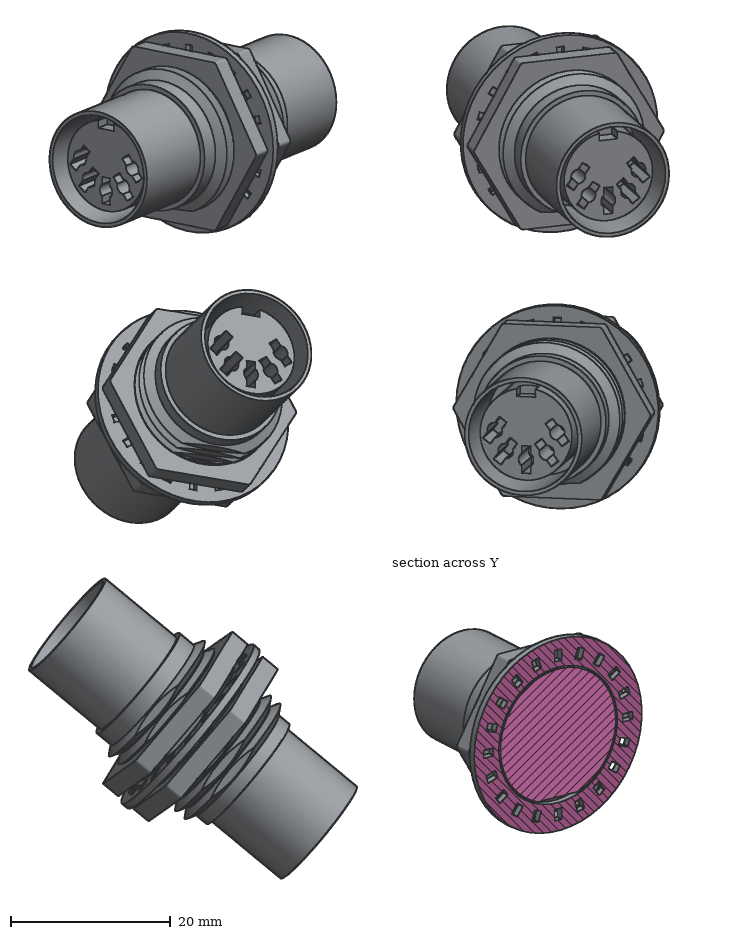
import cadquery as cq
import math

total_length = 41.15
tube_radius = 7.5
tube_bore_radius = 7.0
shoulder_radius = 8.15
shoulder_length = 18.0

thread_radius = 9.4
thread_pitch = 1.55
thread_base_width = 1.45
thread_count = 9
first_crest_y = -5.92
thread_flat_z = -8.38

insert_radius = 5.88
insert_recess = 1.7
socket_depth = (total_length - shoulder_length) / 2
key_width = 2.4
key_bottom_z = 4.77
key_depth = 2.0
contact_circle_radius = 4.03
contact_circle_z = 0.77
contact_angles = (-84.0, -41.0, 0.0, 41.0, 84.0)
contact_tilt = 37.0
contact_slot_width = 1.16
contact_slot_length = 3.5
contact_hole_radius = 0.95
contact_depth = 6.0

washer_y = -0.41
washer_diameter = 25.91
washer_thickness = 0.97
washer_bore_radius = 9.1
washer_slot_count = 20
washer_slot_width = 1.0
washer_slot_inner_radius = 10.0
washer_slot_outer_radius = 11.45
nut_across_flats = 22.0
nut_across_corners = nut_across_flats / math.cos(math.radians(30))
nut_thickness = 2.5
nut_corner_radius = 0.5
nut_bore_radius = 9.1
nut_offset = 2.48


def cylinder(radius, y_start, y_end):
    """Solid cylinder on the Y axis from y_start to y_end."""
    face = cq.Workplane("XZ", origin=(0, y_start, 0)).circle(radius)
    return face.extrude(y_start - y_end)


def thread_ring(crest_y):
    """One full V-shaped ring of the thread, solid to the axis."""
    half_base = thread_base_width / 2
    profile = [
        (0, crest_y - half_base),
        (shoulder_radius, crest_y - half_base),
        (thread_radius, crest_y),
        (shoulder_radius, crest_y + half_base),
        (0, crest_y + half_base),
    ]
    return cq.Workplane("XY").polyline(profile).close().revolve(360, (0, 0, 0), (0, 1, 0))


thread_rings = [thread_ring(first_crest_y + i * thread_pitch) for i in range(thread_count)]


def contact_cut(front_y, x, z, tilt):
    """Cutter for one contact: a round hole with a slot across it, tilted about Y."""
    plane = cq.Workplane("XZ", origin=(x, front_y, z))
    hole = plane.circle(contact_hole_radius).extrude(-contact_depth)
    slot = plane.rect(contact_slot_width, contact_slot_length).extrude(-contact_depth)
    return hole.union(slot.rotate((x, 0, z), (x, 1, z), tilt))


def socket_cut():
    """Cutter for the socket at the -Y end."""
    mouth_y = -total_length / 2
    front_y = mouth_y + insert_recess
    cut = cylinder(tube_bore_radius, mouth_y, mouth_y + socket_depth)
    cut = cut.cut(cylinder(insert_radius, front_y, mouth_y + socket_depth))

    key_height = insert_radius - key_bottom_z
    key_y = front_y + key_depth / 2
    key = cq.Workplane("XY").box(key_width, key_depth, key_height)
    cut = cut.union(key.translate((0, key_y, key_bottom_z + key_height / 2)))

    for angle_degrees in contact_angles:
        angle = math.radians(angle_degrees)
        x = contact_circle_radius * math.sin(angle)
        z = contact_circle_z - contact_circle_radius * math.cos(angle)
        side = (angle > 0) - (angle < 0)
        cut = cut.union(contact_cut(front_y, x, z, -side * contact_tilt))
    return cut


def make_housing():
    threads = thread_rings[0]
    for ring in thread_rings[1:]:
        threads = threads.union(ring)
    flat_cut = cq.Workplane("XY").box(2 * thread_radius, shoulder_length, thread_radius)
    threads = threads.cut(flat_cut.translate((0, 0, thread_flat_z - thread_radius / 2)))

    body = cylinder(tube_radius, -total_length / 2, total_length / 2)
    body = body.union(cylinder(shoulder_radius, -shoulder_length / 2, shoulder_length / 2))
    body = body.union(threads)
    near_socket = socket_cut()
    return body.cut(near_socket).cut(near_socket.mirror("XZ"))


def make_washer():
    start_y = washer_y - washer_thickness / 2
    end_y = washer_y + washer_thickness / 2
    washer = cylinder(washer_diameter / 2, start_y, end_y)
    washer = washer.cut(cylinder(washer_bore_radius, start_y, end_y))
    slot_band = cylinder(washer_slot_outer_radius, start_y, end_y)
    slot_band = slot_band.cut(cylinder(washer_slot_inner_radius, start_y, end_y))
    spokes = (
        cq.Workplane("XZ", origin=(0, start_y, 0))
        .polarArray(washer_diameter / 4, 0, 360, washer_slot_count)
        .rect(washer_diameter / 2, washer_slot_width)
        .extrude(-washer_thickness)
    )
    slots = spokes.intersect(slot_band)
    return washer.cut(slots)


def make_nut(center_y):
    """Hexagon nut with flats at top and bottom, its bore grooved to clear the thread crests."""
    start_y = center_y - nut_thickness / 2
    end_y = center_y + nut_thickness / 2
    nut = (
        cq.Workplane("XZ", origin=(0, start_y, 0))
        .polygon(6, nut_across_corners)
        .extrude(-nut_thickness)
        .edges("|Y")
        .fillet(nut_corner_radius)
    )
    nut = nut.cut(cylinder(nut_bore_radius, start_y, end_y))
    for ring in thread_rings:
        nut = nut.cut(ring)
    return nut


housing = make_housing()
washer = make_washer()
nuts = [make_nut(washer_y + side * nut_offset) for side in (-1, 1)]

result = cq.Compound.makeCompound([housing.val(), washer.val(), *[nut.val() for nut in nuts]])